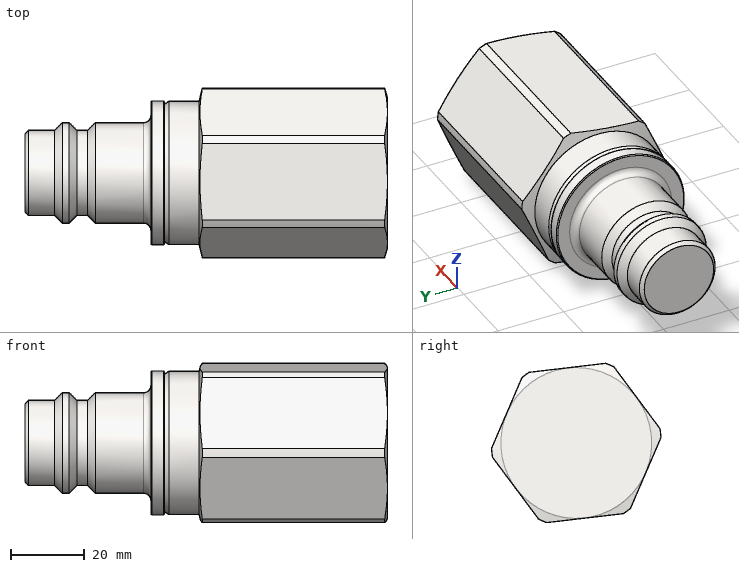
import cadquery as cq
import math

TOTAL_LENGTH = 98.0

nose_radius = 23.1 / 2
shank_radius = 27.2 / 2
tip_chamfer = 1.0
ramp_length = shank_radius - nose_radius
collar_ramp_start = 8.0
collar_start = collar_ramp_start + ramp_length
collar_end = 12.0
neck_start = collar_end + ramp_length
neck_end = 17.0
shank_start = neck_end + ramp_length

flange_radius = 39.0 / 2
flange_start = 34.0
flange_end = 37.7
flange_fillet = 2.0
flange_edge_chamfer = 0.3
body_radius = 38.8 / 2
body_start = 38.9
groove_radius = 18.6

hex_start = 47.0
across_flats = 41.0
across_corners = across_flats / math.cos(math.pi / 6)
hex_rotation = 6.7
hex_corner_radius = 46.0 / 2
hex_shoulder_length = 0.9
hex_end_chamfer_length = 0.8
hex_end_radius = across_flats / 2 - 0.1


def revolve_about_x(half_profile):
    """Revolve a closed XY profile lying on the X axis."""
    return half_profile.close().revolve(360, (0, 0, 0), (1, 0, 0))


def make_turned_plug():
    flange_root = flange_start - flange_fillet
    profile = (
        cq.Workplane("XY")
        .moveTo(0, 0)
        .lineTo(0, nose_radius - tip_chamfer)
        .lineTo(tip_chamfer, nose_radius)
        .lineTo(collar_ramp_start, nose_radius)
        .lineTo(collar_start, shank_radius)
        .lineTo(collar_end, shank_radius)
        .lineTo(neck_start, nose_radius)
        .lineTo(neck_end, nose_radius)
        .lineTo(shank_start, shank_radius)
        .lineTo(flange_root, shank_radius)
        .radiusArc((flange_start, shank_radius + flange_fillet), -flange_fillet)
        .lineTo(flange_start, flange_radius - flange_edge_chamfer)
        .lineTo(flange_start + flange_edge_chamfer, flange_radius)
        .lineTo(flange_end - flange_edge_chamfer, flange_radius)
        .lineTo(flange_end, flange_radius - flange_edge_chamfer)
        .lineTo(flange_end, groove_radius)
        .lineTo(body_start, body_radius)
        .lineTo(hex_start, body_radius)
        .lineTo(hex_start, 0)
    )
    return revolve_about_x(profile)


def make_hex_socket():
    hexagon = (
        cq.Workplane("YZ", origin=(hex_start, 0, 0))
        .polygon(6, across_corners)
        .extrude(TOTAL_LENGTH - hex_start)
        .rotate((0, 0, 0), (1, 0, 0), hex_rotation)
    )
    envelope = revolve_about_x(
        cq.Workplane("XY")
        .moveTo(hex_start, 0)
        .lineTo(hex_start, body_radius)
        .lineTo(hex_start + hex_shoulder_length, hex_corner_radius)
        .lineTo(TOTAL_LENGTH - hex_end_chamfer_length, hex_corner_radius)
        .lineTo(TOTAL_LENGTH, hex_end_radius)
        .lineTo(TOTAL_LENGTH, 0)
    )
    return hexagon.intersect(envelope)


result = make_turned_plug().union(make_hex_socket())